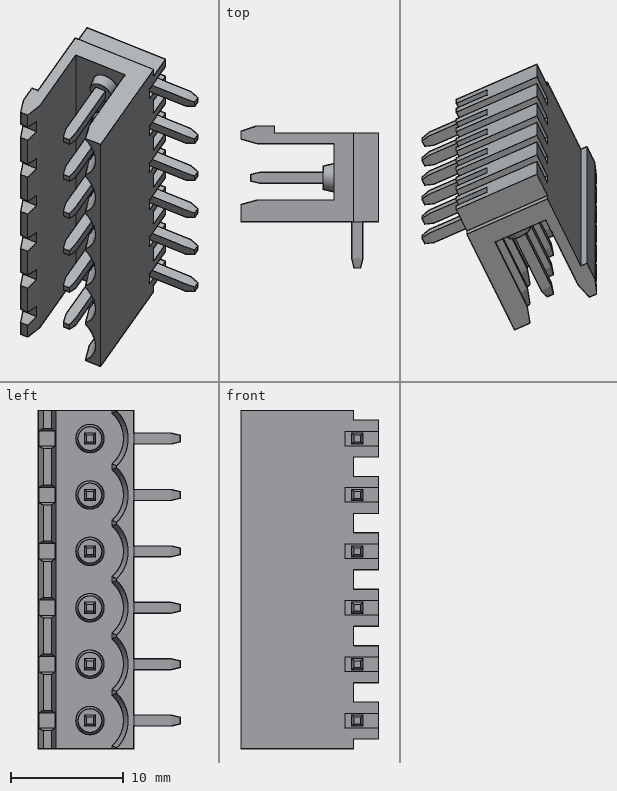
import cadquery as cq


LENGTH = 30
PIN_COUNT = 6
PITCH = LENGTH / PIN_COUNT
STATIONS = [(i + 0.5) * PITCH for i in range(PIN_COUNT)]

BODY_DEPTH = 10.0
BODY_HEIGHT = 7.9
FRONT_WALL = 1.95
BACK_WALL = 1.0
POCKET_DEPTH = 8.25
POCKET_TOP = BODY_HEIGHT - BACK_WALL
LEAD_IN_DEPTH = 1.5
LEAD_IN_WIDTH = 0.42

LIP_HEIGHT = 0.6
LIP_LENGTH = 3
LIP_BEVEL_DEPTH = 1.35
LIP_BEVEL_WIDTH = 0.45
NOTCH_DEPTH = 1.1
NOTCH_FLOOR = 1.35
NOTCH_MOUTH = 1.8

OVERALL_DEPTH = 12.2
FOOT_WIDTH = 3.3

SLOT_START = 9.25
SLOT_WIDTH = 1.3
SLOT_DEPTH = 3

PIN_SIZE = 1.0
PIN_TIP_SIZE = 0.6
PIN_TAPER = 0.8
PIN_START = 0.87
PIN_Y = 3.9
LEG_X = 10.32
LEG_REACH = 4.1

COLLAR_BASE_DIAMETER = 2.52
COLLAR_TIP_DIAMETER = 2.1
COLLAR_HEIGHT = 0.95

SOCKET_RADIUS = 2.97


def make_box(x_range, y_range, z_range):
    """Box spanning the given (low, high) ranges."""
    lows, highs = zip(x_range, y_range, z_range)
    sizes = [high - low for low, high in zip(lows, highs)]
    return cq.Workplane("XY").box(*sizes, centered=False).translate(lows)


def centred_range(middle, width):
    return (middle - width / 2, middle + width / 2)


def x_plane(x, z):
    """Plane facing +X, centred on the pin axis."""
    return cq.Workplane("YZ", origin=(x, PIN_Y, z))


def make_housing():
    """U-shaped section with bevelled wall ends, extruded along the row."""
    lip_top = BODY_HEIGHT + LIP_HEIGHT
    outline = [
        (0, 0),
        (BODY_DEPTH, 0),
        (BODY_DEPTH, BODY_HEIGHT),
        (LIP_LENGTH, BODY_HEIGHT),
        (LIP_LENGTH, lip_top),
        (LIP_BEVEL_DEPTH, lip_top),
        (0, lip_top - LIP_BEVEL_WIDTH),
        (0, POCKET_TOP + LEAD_IN_WIDTH),
        (LEAD_IN_DEPTH, POCKET_TOP),
        (POCKET_DEPTH, POCKET_TOP),
        (POCKET_DEPTH, FRONT_WALL),
        (LEAD_IN_DEPTH, FRONT_WALL),
        (0, FRONT_WALL - LEAD_IN_WIDTH),
    ]
    return cq.Workplane("XY").polyline(outline).close().extrude(LENGTH)


def make_socket(z):
    """Half-round bore down to the pocket floor with a conical lead-in."""
    bore = x_plane(0, z).circle(SOCKET_RADIUS).extrude(POCKET_DEPTH)
    lead_in = (
        x_plane(0, z).circle(SOCKET_RADIUS + LEAD_IN_WIDTH)
        .workplane(offset=LEAD_IN_DEPTH).circle(SOCKET_RADIUS)
        .loft()
    )
    front_half = make_box((0, POCKET_DEPTH), (0, PIN_Y), (0, LENGTH))
    return bore.union(lead_in).intersect(front_half)


def make_notch(z):
    """Flared notch through the tip of the back wall."""
    outline = [
        (0, z - NOTCH_MOUTH / 2),
        (NOTCH_DEPTH, z - NOTCH_FLOOR / 2),
        (NOTCH_DEPTH, z + NOTCH_FLOOR / 2),
        (0, z + NOTCH_MOUTH / 2),
    ]
    return (
        cq.Workplane("XZ", origin=(0, PIN_Y, 0))
        .polyline(outline).close().extrude(-BODY_HEIGHT)
    )


def make_foot(z):
    return make_box((BODY_DEPTH, OVERALL_DEPTH), (0, BODY_HEIGHT), centred_range(z, FOOT_WIDTH))


def make_slot(z):
    """Slot around the solder leg, open at the front and towards the feet."""
    return make_box((SLOT_START, OVERALL_DEPTH), (0, SLOT_DEPTH), centred_range(z, SLOT_WIDTH))


def make_collar(z):
    return (
        x_plane(POCKET_DEPTH - COLLAR_HEIGHT, z).circle(COLLAR_TIP_DIAMETER / 2)
        .workplane(offset=COLLAR_HEIGHT).circle(COLLAR_BASE_DIAMETER / 2)
        .loft()
    )


def make_pin_tip(plane):
    """Tapered end of a square pin, starting at the small tip."""
    return (
        plane.rect(PIN_TIP_SIZE, PIN_TIP_SIZE)
        .workplane(offset=PIN_TAPER).rect(PIN_SIZE, PIN_SIZE)
        .loft()
    )


def make_pin(z):
    """Contact along X, bent square into a solder leg along -Y."""
    half = PIN_SIZE / 2
    z_range = centred_range(z, PIN_SIZE)
    contact = make_box((PIN_START + PIN_TAPER, LEG_X + half), centred_range(PIN_Y, PIN_SIZE), z_range)
    leg = make_box(centred_range(LEG_X, PIN_SIZE), (PIN_TAPER - LEG_REACH, PIN_Y + half), z_range)
    contact_tip = make_pin_tip(x_plane(PIN_START, z))
    leg_tip = make_pin_tip(cq.Workplane("ZX", origin=(LEG_X, -LEG_REACH, z)))
    return contact.union(leg).union(contact_tip).union(leg_tip)


result = make_housing()
for station in STATIONS:
    result = result.union(make_foot(station))
    result = result.cut(make_socket(station))
    result = result.cut(make_notch(station))
    result = result.cut(make_slot(station))
    result = result.union(make_collar(station))
    result = result.union(make_pin(station))